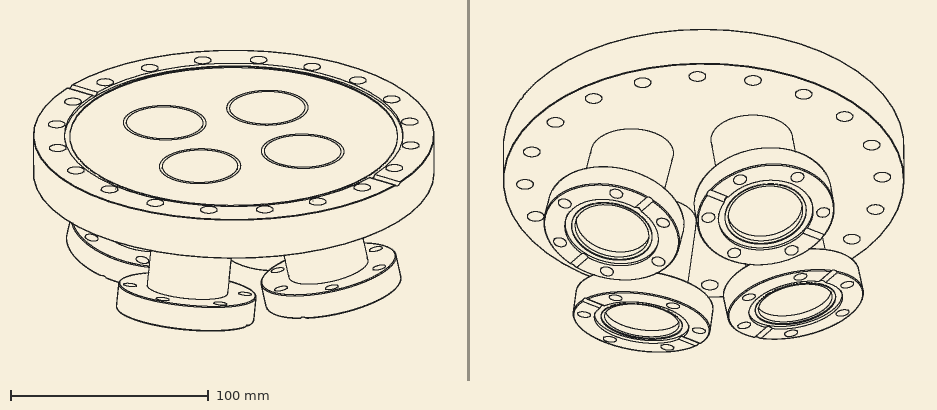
import cadquery as cq
import math

recess_depth = 1.5
knife_tip_depth = 0.6
inner_face_depth = 1.2

plate_diameter = 203.0
plate_thickness = 21.7
plate_recess_diameter = 171.4
plate_knife_diameter = 166.0
plate_bolt_count = 20
plate_bolt_circle = 181.0
plate_bolt_diameter = 8.4
plate_edge_chamfer = 0.3

port_count = 4
first_port_angle = 9.0
port_tilt = 13.0
tube_outer_diameter = 41.0
tube_bore_diameter = 38.0
port_pitch_radius = 38.85
port_length = 77.38

flange_diameter = 70.0
flange_thickness = 13.0
flange_recess_diameter = 48.3
flange_knife_diameter = 41.5
flange_bolt_count = 6
flange_bolt_circle = 58.7
flange_bolt_diameter = 6.6
flange_edge_chamfer = 0.5
socket_depth = 8.3

groove_radius = 2.6
plate_groove_width = 4.4
flange_groove_width = 4.0


def seal_cut(recess_diameter, knife_diameter):
    """Space above the gasket recess, the sloping knife edge and the face inside it."""
    recess_radius = recess_diameter / 2
    knife_radius = knife_diameter / 2
    return (
        cq.Workplane("XZ")
        .polyline([
            (0, 0),
            (recess_radius, 0),
            (recess_radius, -recess_depth),
            (knife_radius, -knife_tip_depth),
            (knife_radius, -inner_face_depth),
            (0, -inner_face_depth),
        ])
        .close()
        .revolve(360, (0, 0, 0), (0, 1, 0))
    )


def leak_grooves(width, recess_diameter, outer_diameter):
    """Round-bottomed grooves along X, one on each side of the recess."""
    axis_height = math.sqrt(groove_radius**2 - (width / 2) ** 2)
    bar = (
        cq.Workplane("YZ")
        .center(0, axis_height)
        .circle(groove_radius)
        .extrude(outer_diameter / 2, both=True)
    )
    core = cq.Workplane("XY").circle(recess_diameter / 2).extrude(groove_radius, both=True)
    return bar.cut(core)


def bolted_disc(diameter, thickness, chamfer, bolt_count, bolt_circle, bolt_diameter, bolt_start):
    """Disc below Z = 0 with chamfered rims and a ring of bolt holes."""
    return (
        cq.Workplane("XY")
        .circle(diameter / 2)
        .extrude(-thickness)
        .edges()
        .chamfer(chamfer)
        .faces(">Z")
        .workplane()
        .polarArray(bolt_circle / 2, bolt_start, 360, bolt_count)
        .hole(bolt_diameter)
    )


def cylinder(diameter, bottom, top):
    return cq.Workplane("XY").workplane(offset=bottom).circle(diameter / 2).extrude(top - bottom)


def place_at_port(body, index):
    """Move a body from the port frame (sealing face at Z = 0, facing +Z) to its port."""
    angle = math.radians(first_port_angle + index * 360 / port_count)
    tilt = math.radians(port_tilt)
    outwards = cq.Vector(math.cos(angle), math.sin(angle), 0)
    tangent = cq.Vector(-math.sin(angle), math.cos(angle), 0)
    axis = outwards * math.sin(tilt) - cq.Vector(0, 0, math.cos(tilt))
    top_of_axis = outwards * port_pitch_radius - cq.Vector(0, 0, inner_face_depth)
    face_center = top_of_axis + axis * port_length
    return body.val().moved(cq.Plane(face_center, tangent, axis).location)


def make_port_tube(index):
    """Tube from the flange socket up to the inner face of the plate, cut flush with it."""
    socket_floor = socket_depth - flange_thickness
    overshoot = tube_outer_diameter / 2
    tube_top = -port_length - overshoot
    straight = cylinder(tube_outer_diameter, tube_top, socket_floor).cut(
        cylinder(tube_bore_diameter, tube_top, socket_floor)
    )
    below_inner_face = cylinder(plate_diameter, -2 * port_length, -inner_face_depth)
    return below_inner_face.intersect(cq.Workplane(place_at_port(straight, index)))


def make_port_flange(index):
    half_pitch = 180 / flange_bolt_count
    flange = bolted_disc(
        flange_diameter, flange_thickness, flange_edge_chamfer,
        flange_bolt_count, flange_bolt_circle, flange_bolt_diameter, half_pitch,
    )
    flange = flange.cut(seal_cut(flange_recess_diameter, flange_knife_diameter))
    flange = flange.cut(leak_grooves(flange_groove_width, flange_recess_diameter, flange_diameter))
    flange = flange.cut(cylinder(tube_bore_diameter, -flange_thickness, 0))
    flange = flange.cut(cylinder(tube_outer_diameter, -flange_thickness, socket_depth - flange_thickness))
    return cq.Workplane(place_at_port(flange, index))


def make_plate():
    half_pitch = 180 / plate_bolt_count
    plate = bolted_disc(
        plate_diameter, plate_thickness, plate_edge_chamfer,
        plate_bolt_count, plate_bolt_circle, plate_bolt_diameter, half_pitch,
    )
    plate = plate.cut(seal_cut(plate_recess_diameter, plate_knife_diameter))
    plate = plate.cut(leak_grooves(plate_groove_width, plate_recess_diameter, plate_diameter))
    tube_hole = cylinder(tube_outer_diameter, -2 * port_length, 0)
    for index in range(port_count):
        plate = plate.cut(cq.Workplane(place_at_port(tube_hole, index)))
    return plate


plate = make_plate()
port_tubes = [make_port_tube(index) for index in range(port_count)]
port_flanges = [make_port_flange(index) for index in range(port_count)]

result = cq.Compound.makeCompound(
    [plate.val()]
    + [tube.val() for tube in port_tubes]
    + [flange.val() for flange in port_flanges]
)